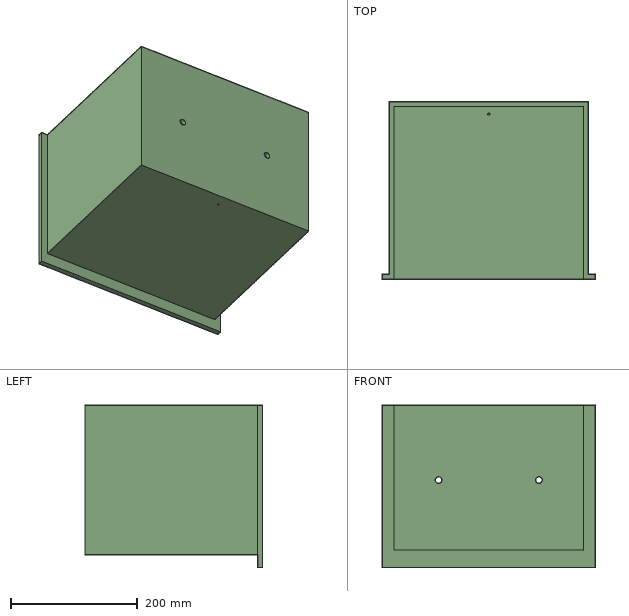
import cadquery as cq

overall_width = 336.0
overall_depth = 280.0
overall_height = 256.0

wall = 8.0
frame_thickness = 8.0
frame_side_overhang = 11.0
frame_bottom_overhang = 20.0

body_width = overall_width - 2 * frame_side_overhang
body_height = overall_height - frame_bottom_overhang
cavity_width = body_width - 2 * wall
cavity_depth = overall_depth - wall
floor_top = frame_bottom_overhang + wall

back_hole_diameter = 10.0
back_hole_spacing = 158.0
back_hole_height = frame_bottom_overhang + body_height / 2

floor_hole_diameter = 2.5
floor_hole_to_back = 20.0


def block(width, depth, height, bottom):
    """Block centred on X, starting at the front face and standing on the given height."""
    return (
        cq.Workplane("XY")
        .box(width, depth, height, centered=(True, False, False))
        .translate((0, 0, bottom))
    )


def make_shell():
    """Box body and front frame, hollowed by one cavity open to the front and top."""
    body = block(body_width, overall_depth, body_height, frame_bottom_overhang)
    frame = block(overall_width, frame_thickness, overall_height, 0)
    cavity = block(cavity_width, cavity_depth, body_height - wall, floor_top)
    return body.union(frame).cut(cavity)


def make_back_holes():
    """Two holes through the back wall, level with the middle of the body."""
    half_spacing = back_hole_spacing / 2
    return (
        cq.Workplane("XZ", origin=(0, overall_depth, back_hole_height))
        .pushPoints([(-half_spacing, 0), (half_spacing, 0)])
        .circle(back_hole_diameter / 2)
        .extrude(wall)
    )


def make_floor_hole():
    """Small hole through the floor, on the centre line near the back wall."""
    hole_y = overall_depth - floor_hole_to_back
    return (
        cq.Workplane("XY", origin=(0, hole_y, frame_bottom_overhang))
        .circle(floor_hole_diameter / 2)
        .extrude(wall)
    )


result = make_shell().cut(make_back_holes()).cut(make_floor_hole())